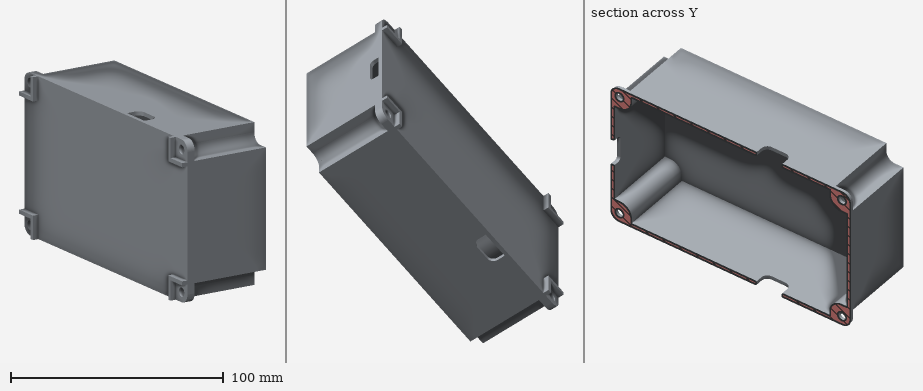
import cadquery as cq

LENGTH = 140.0
DEPTH = 47.0
HEIGHT = 80.0

FRONT_STACK = 7.0
FOOT_HEIGHT = 3.0

SHEET = (FRONT_STACK - FOOT_HEIGHT) / 2

NOTCH = 10.0
CORNER_RADIUS = NOTCH / 2
SCREW_HOLE_DIAMETER = 4.6

WINDOW_WIDTH = 15.0
LONG_WALL_WINDOW_X = 22.5
LONG_WALL_WINDOW_DEPTH = 7.5
LONG_WALL_WINDOW_RADIUS = 3.5
END_WALL_WINDOW_DEPTH = 4.9
END_WALL_WINDOW_RADIUS = 2.0

FOOT_FRONT = -DEPTH / 2
LID_FRONT = FOOT_FRONT + FOOT_HEIGHT
LID_BACK = LID_FRONT + SHEET
TAB_BACK = LID_BACK + SHEET
BACK_REAR = DEPTH / 2
BACK_FRONT = BACK_REAR - SHEET

CORNERS = [(side_x, side_z) for side_x in (-1, 1) for side_z in (-1, 1)]


def block(x_min, x_max, y_min, y_max, z_min, z_max):
    """Box between two limits along each axis."""
    return cq.Workplane("XY").box(
        x_max - x_min, y_max - y_min, z_max - z_min, centered=False
    ).translate((x_min, y_min, z_min))


def centred_slab(length, height, y_min, y_max):
    """Rectangular slab centred on the Y axis."""
    return block(-length / 2, length / 2, y_min, y_max, -height / 2, height / 2)


def rounded_slab(y_min, y_max):
    """Full-size slab with rounded corners."""
    return centred_slab(LENGTH, HEIGHT, y_min, y_max).edges("|Y").fillet(CORNER_RADIUS)


def corner_block(side_x, side_z, size, y_min, y_max):
    """Square block filling one outer corner."""
    x_edges = sorted((side_x * LENGTH / 2, side_x * (LENGTH / 2 - size)))
    z_edges = sorted((side_z * HEIGHT / 2, side_z * (HEIGHT / 2 - size)))
    return block(*x_edges, y_min, y_max, *z_edges)


def notched_slab(inset, y_min, y_max):
    """Slab set in by `inset` all round, with a round-bottomed notch in each corner."""
    slab = centred_slab(LENGTH - 2 * inset, HEIGHT - 2 * inset, y_min, y_max)
    for side_x, side_z in CORNERS:
        inner_x = "<X" if side_x > 0 else ">X"
        inner_z = "<Z" if side_z > 0 else ">Z"
        notch = corner_block(side_x, side_z, NOTCH + inset, y_min, y_max)
        notch = notch.faces(inner_x).edges(inner_z).fillet(CORNER_RADIUS + inset)
        slab = slab.cut(notch)
    return slab


def screw_holes(y_min, y_max):
    """Four cylinders on the axes of the rounded corners."""
    centres = [
        (side_x * (LENGTH / 2 - CORNER_RADIUS), side_z * (HEIGHT / 2 - CORNER_RADIUS))
        for side_x, side_z in CORNERS
    ]
    return (
        cq.Workplane("XZ", origin=(0, y_min, 0))
        .pushPoints(centres)
        .circle(SCREW_HOLE_DIAMETER / 2)
        .extrude(-(y_max - y_min))
    )


def make_back_plate():
    return notched_slab(0, BACK_FRONT, BACK_REAR)


def make_housing():
    """Notched tube of walls, with a screw tab across the front of each notch."""
    housing = notched_slab(0, LID_BACK, BACK_FRONT)
    housing = housing.union(rounded_slab(LID_BACK, TAB_BACK))
    housing = housing.cut(notched_slab(SHEET, LID_BACK, BACK_FRONT))
    housing = housing.cut(screw_holes(LID_BACK, TAB_BACK))

    long_wall_window = block(
        LONG_WALL_WINDOW_X - WINDOW_WIDTH / 2,
        LONG_WALL_WINDOW_X + WINDOW_WIDTH / 2,
        LID_BACK,
        LID_BACK + LONG_WALL_WINDOW_DEPTH,
        -HEIGHT / 2,
        HEIGHT / 2,
    ).faces(">Y").edges("|Z").fillet(LONG_WALL_WINDOW_RADIUS)

    end_wall_window = block(
        -LENGTH / 2,
        -LENGTH / 2 + SHEET,
        LID_BACK,
        LID_BACK + END_WALL_WINDOW_DEPTH,
        -WINDOW_WIDTH / 2,
        WINDOW_WIDTH / 2,
    ).faces(">Y").edges("|X").fillet(END_WALL_WINDOW_RADIUS)

    return housing.cut(long_wall_window).cut(end_wall_window)


def make_foot(side_x, side_z):
    """L-shaped rib that frames one screw hole."""
    outer = corner_block(side_x, side_z, NOTCH + SHEET, FOOT_FRONT, LID_FRONT)
    return outer.cut(corner_block(side_x, side_z, NOTCH, FOOT_FRONT, LID_FRONT))


def make_lid():
    lid = rounded_slab(LID_FRONT, LID_BACK)
    for side_x, side_z in CORNERS:
        lid = lid.union(make_foot(side_x, side_z))
    return lid.cut(screw_holes(LID_FRONT, LID_BACK))


back_plate = make_back_plate()
housing = make_housing()
lid = make_lid()

result = cq.Compound.makeCompound([back_plate.val(), housing.val(), lid.val()])